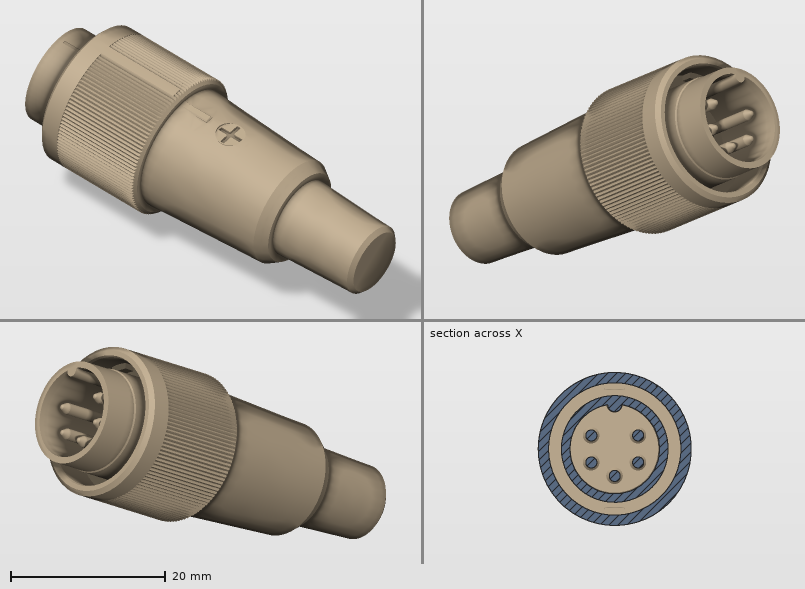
import cadquery as cq
import math

LENGTH = 52.8

FLOOR_X = 10.0

SHELL_RADIUS = 13.6 / 2
SHELL_STEP_X = 4.65
SHELL_STEP_LENGTH = 0.2
SHELL_STEP_RADIUS = 13.9 / 2
CAVITY_RADIUS = 5.95
CAVITY_DRAFT = 1.5
KEY_WIDTH = 1.6
KEY_CENTRE_Z = 5.75
SLIT_WIDTH = 0.48
SLIT_START_X = 0.95
SLIT_DEPTH = 0.1

PIN_DIAMETER = 1.49
PIN_CIRCLE_RADIUS = 3.5
PIN_ANGLES = (30, 150, 210, 270, 330)
PIN_START_X = 1.05
PIN_EMBEDDED_LENGTH = 1.0
NOSE_DIAMETER = 0.66
NOSE_LENGTH = 0.15
PIN_CONE_DIAMETER = 1.38
PIN_CONE_LENGTH = 0.7
SHOULDER_LENGTH = 0.15
FOOT_BASE_DIAMETER = 2.15
FOOT_HEIGHT = 0.5

RING_RADIUS = 19.9 / 2
RING_START_X = 4.85
RING_END_X = 20.75
RING_CHAMFER_LENGTH = 0.5
RING_CHAMFER_DROP = 0.6
RING_BORE_RADIUS = 17.1 / 2
BORE_ENTRY_WIDENING = 0.15
BORE_ENTRY_LENGTH = 0.4

KNURL_START_X = 7.83
GROOVE_COUNT = 120
GROOVE_WIDTH = 2 * RING_RADIUS * math.sin(math.pi / GROOVE_COUNT)
GROOVE_DEPTH = 0.25
PLAIN_STRIP_HALF_ANGLE = 4.5
PLAIN_STRIP_END_X = 19.8

LUG_WIDTH = 2.5
LUG_INNER_Z = 7.7
LUG_START_X = 8.5

HOUSING_FRONT_RADIUS = 8.55
HOUSING_REAR_RADIUS = 7.55
HOUSING_TAPER_END_X = 38.7
HOUSING_END_X = 40.3
HOUSING_END_RADIUS = 6.5
BUSHING_FRONT_RADIUS = 5.5
BUSHING_REAR_RADIUS = 4.95
BUSHING_CHAMFER = 0.6

RIB_WIDTH = 1.15
RIB_TOP_Z = 8.55
RIB_END_X = 25.25
RIB_BEVEL = 0.15

SCREW_X = 28.75
SCREW_DIAMETER = 3.9
SCREW_TOP_Z = 7.95
CROSS_WIDTH = 0.6
CROSS_LENGTH = 3.5
CROSS_DEPTH = 0.4
CROSS_CORNER_RADIUS = 0.2


def revolve_about_x(points):
    """Revolve an (x, radius) outline about the X axis."""
    return cq.Workplane("XY").polyline(points).close().revolve(360, (0, 0, 0), (1, 0, 0))


def plane_at_x(x):
    """Plane facing +X whose local axes are Y and Z."""
    return cq.Workplane("YZ", origin=(x, 0, 0))


def block(x_start, x_end, width, z_bottom, z_top):
    """Box centred on Y = 0."""
    box = cq.Workplane("XY").box(x_end - x_start, width, z_top - z_bottom, centered=(False, True, False))
    return box.translate((x_start, 0, z_bottom))


def make_ring():
    edge_radius = RING_RADIUS - RING_CHAMFER_DROP
    mouth_radius = RING_BORE_RADIUS + BORE_ENTRY_WIDENING
    return revolve_about_x([
        (FLOOR_X, 0),
        (FLOOR_X, RING_BORE_RADIUS),
        (RING_START_X + BORE_ENTRY_LENGTH, RING_BORE_RADIUS),
        (RING_START_X, mouth_radius),
        (RING_START_X, edge_radius),
        (RING_START_X + RING_CHAMFER_LENGTH, RING_RADIUS),
        (RING_END_X - RING_CHAMFER_LENGTH, RING_RADIUS),
        (RING_END_X, edge_radius),
        (RING_END_X, 0),
    ])


def make_groove(start_x):
    """V groove at the top of the ring, open towards the rear."""
    clearance = GROOVE_DEPTH
    half_opening = GROOVE_WIDTH / 2 * (GROOVE_DEPTH + clearance) / GROOVE_DEPTH
    return (
        plane_at_x(start_x)
        .moveTo(0, RING_RADIUS - GROOVE_DEPTH)
        .lineTo(half_opening, RING_RADIUS + clearance)
        .lineTo(-half_opening, RING_RADIUS + clearance)
        .close()
        .extrude(RING_END_X - start_x)
        .val()
    )


def make_knurl_grooves():
    long_groove = make_groove(KNURL_START_X)
    short_groove = make_groove(PLAIN_STRIP_END_X)
    grooves = []
    for index in range(GROOVE_COUNT):
        angle = index * 360 / GROOVE_COUNT
        on_plain_strip = min(angle, 360 - angle) < PLAIN_STRIP_HALF_ANGLE
        groove = short_groove if on_plain_strip else long_groove
        grooves.append(groove.rotate(cq.Vector(0, 0, 0), cq.Vector(1, 0, 0), angle))
    return cq.Workplane("XY").newObject([cq.Compound.makeCompound(grooves)])


def make_lugs():
    lug_length = FLOOR_X - LUG_START_X
    bore = plane_at_x(LUG_START_X).circle(RING_BORE_RADIUS).extrude(lug_length)
    upper = block(LUG_START_X, FLOOR_X, LUG_WIDTH, LUG_INNER_Z, RING_BORE_RADIUS)
    lower = upper.mirror("XY")
    return upper.union(lower).intersect(bore)


def make_rear():
    return revolve_about_x([
        (RING_END_X, 0),
        (RING_END_X, HOUSING_FRONT_RADIUS),
        (HOUSING_TAPER_END_X, HOUSING_REAR_RADIUS),
        (HOUSING_END_X, HOUSING_END_RADIUS),
        (HOUSING_END_X, BUSHING_FRONT_RADIUS),
        (LENGTH - BUSHING_CHAMFER, BUSHING_REAR_RADIUS),
        (LENGTH, BUSHING_REAR_RADIUS - BUSHING_CHAMFER),
        (LENGTH, 0),
    ])


def make_rib():
    """Rib with a bevelled top; its front end is buried in the ring."""
    rib = block(RING_END_X - RIB_BEVEL, RIB_END_X, RIB_WIDTH, HOUSING_REAR_RADIUS, RIB_TOP_Z)
    return rib.faces(">Z").chamfer(RIB_BEVEL)


def add_screw(housing):
    seat = cq.Workplane("XY", origin=(SCREW_X, 0, SCREW_TOP_Z))
    opening = seat.circle(SCREW_DIAMETER / 2).extrude(HOUSING_FRONT_RADIUS - SCREW_TOP_Z)
    head = seat.circle(SCREW_DIAMETER / 2).extrude(HOUSING_END_RADIUS - SCREW_TOP_Z)
    cross = seat.rect(CROSS_LENGTH, CROSS_WIDTH).extrude(-CROSS_DEPTH)
    cross = cross.union(cross.rotate((SCREW_X, 0, 0), (SCREW_X, 0, 1), 90))
    inner_corners = cq.selectors.BoxSelector(
        (SCREW_X - CROSS_WIDTH, -CROSS_WIDTH, SCREW_TOP_Z - CROSS_DEPTH),
        (SCREW_X + CROSS_WIDTH, CROSS_WIDTH, SCREW_TOP_Z),
    )
    cross = cross.edges("|Z").edges(inner_corners).fillet(CROSS_CORNER_RADIUS)
    return housing.cut(opening).union(head).cut(cross)


def make_shell():
    shell = revolve_about_x([
        (0, 0),
        (0, SHELL_RADIUS),
        (SHELL_STEP_X, SHELL_RADIUS),
        (SHELL_STEP_X + SHELL_STEP_LENGTH, SHELL_STEP_RADIUS),
        (FLOOR_X, SHELL_STEP_RADIUS),
        (FLOOR_X, 0),
    ])
    slit = block(SLIT_START_X, SHELL_STEP_X, SLIT_WIDTH, SHELL_RADIUS - SLIT_DEPTH, SHELL_RADIUS)
    return shell.cut(make_cavity()).cut(slit)


def make_cavity():
    """Drafted keyed recess that narrows towards its floor."""
    half_key = KEY_WIDTH / 2
    shoulder_z = math.sqrt(CAVITY_RADIUS**2 - half_key**2)
    return (
        plane_at_x(0)
        .moveTo(half_key, shoulder_z)
        .threePointArc((0, -CAVITY_RADIUS), (-half_key, shoulder_z))
        .lineTo(-half_key, KEY_CENTRE_Z)
        .threePointArc((0, KEY_CENTRE_Z - half_key), (half_key, KEY_CENTRE_Z))
        .close()
        .extrude(FLOOR_X, taper=CAVITY_DRAFT)
    )


def make_pin():
    """Pin on the X axis with a domed nose, a cone, a bevelled shoulder and a flared foot."""
    nose_radius = NOSE_DIAMETER / 2
    dome_radius = (nose_radius**2 + NOSE_LENGTH**2) / (2 * NOSE_LENGTH)
    cone_start = PIN_START_X + NOSE_LENGTH
    shoulder_start = cone_start + PIN_CONE_LENGTH
    base_end = FLOOR_X + PIN_EMBEDDED_LENGTH
    return (
        cq.Workplane("XY")
        .moveTo(PIN_START_X, 0)
        .radiusArc((cone_start, nose_radius), dome_radius)
        .lineTo(shoulder_start, PIN_CONE_DIAMETER / 2)
        .lineTo(shoulder_start + SHOULDER_LENGTH, PIN_DIAMETER / 2)
        .lineTo(FLOOR_X - FOOT_HEIGHT, PIN_DIAMETER / 2)
        .lineTo(FLOOR_X, FOOT_BASE_DIAMETER / 2)
        .lineTo(base_end, FOOT_BASE_DIAMETER / 2)
        .lineTo(base_end, 0)
        .close()
        .revolve(360, (0, 0, 0), (1, 0, 0))
    )


def add_pins(body):
    pin = make_pin()
    for angle in PIN_ANGLES:
        y = PIN_CIRCLE_RADIUS * math.cos(math.radians(angle))
        z = PIN_CIRCLE_RADIUS * math.sin(math.radians(angle))
        body = body.union(pin.translate((0, y, z)))
    return body


ring = make_ring().cut(make_knurl_grooves()).union(make_lugs())
rear = add_screw(make_rear().union(make_rib()))
result = add_pins(ring.union(rear).union(make_shell())).solids()